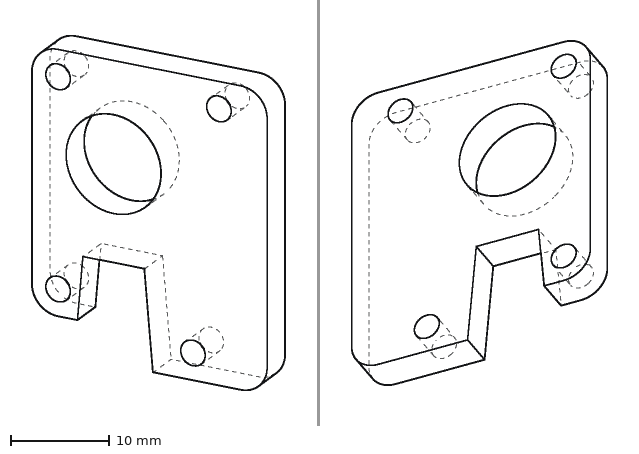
import cadquery as cq
import math

width = 27.0
height = 33.5
thickness = 4.0
corner_radius = 3.0
left_foot_height = 4.1

notch_top = 11.22
notch_left = 5.85
notch_right = 12.9
notch_taper = math.tan(math.radians(5))

screw_diameter = 2.8
screw_inset = 3.0
upper_right_screw_x = 21.47
lower_right_screw_x = 18.5
bore_diameter = 10.9
bore_x = 9.38
bore_drop = 11.42

screw_centers = [
    (screw_inset, height - screw_inset),
    (upper_right_screw_x, height - screw_inset),
    (screw_inset, left_foot_height + screw_inset),
    (lower_right_screw_x, screw_inset),
]


def plate_blank():
    """Upright plate with feet of unequal length and rounded outer corners."""
    left_foot_inner_x = notch_left - (notch_top - left_foot_height) * notch_taper
    right_foot_inner_x = notch_right + notch_top * notch_taper
    outline = [
        (0, height),
        (width, height),
        (width, 0),
        (right_foot_inner_x, 0),
        (notch_right, notch_top),
        (notch_left, notch_top),
        (left_foot_inner_x, left_foot_height),
        (0, left_foot_height),
    ]
    plate = cq.Workplane("XZ").polyline(outline).close().extrude(-thickness)
    for side in ("<X", ">X"):
        plate = plate.faces(side).edges("|Y").fillet(corner_radius)
    return plate


def through_holes(centers, diameter):
    """Cylinders through the full plate thickness."""
    return cq.Workplane("XZ").pushPoints(centers).circle(diameter / 2).extrude(-thickness)


bore = through_holes([(bore_x, height - bore_drop)], bore_diameter)
result = plate_blank().cut(through_holes(screw_centers, screw_diameter)).cut(bore)